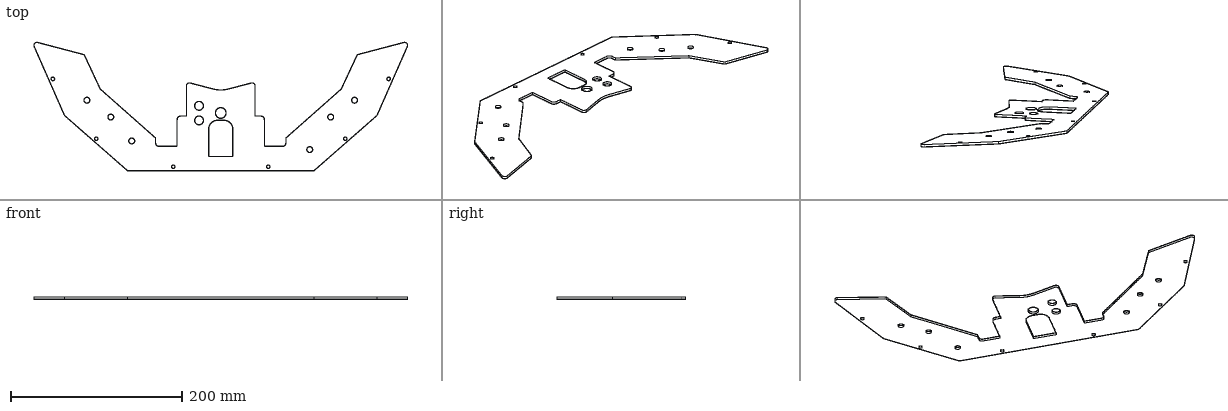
import cadquery as cq

thickness = 3.0
front_half_width = 108.5

outer_elbow = (182.5, 64.5)
arm_tip = (221.0, 152.0)
arm_end_corner = (159.3, 135.5)
inner_elbow = (140.5, 95.5)
arm_root = (76.0, 38.5)
tip_radius = 3.5
arm_end_radius = 2.0

notch_floor = 29.0
notch_radius = 4.0

step_half_width = 51.0
step_height = 64.0
step_radius = 4.5
tower_half_width = 40.0
tower_peak = 104.0
tower_radius = 3.5
valley_height = 93.5
valley_radius = 35.0

window_width = 28.0
window_bottom = 17.0
window_top = 59.0
window_radius = 10.0

rim_hole_diameter = 4.0
rim_holes = [(55.5, 5.0), (145.5, 37.5), (196.0, 107.5)]
arm_hole_diameter = 6.5
paired_arm_holes = [(128.5, 63.0), (156.0, 82.5)]
arm_hole_x = 104.0
left_arm_hole_y = 35.0
right_arm_hole_y = 25.0
tower_hole_diameter = 10.0
tower_hole_x = -25.5
tower_hole_heights = [59.0, 76.0]
center_hole_diameter = 12.0
center_hole_height = 67.5


def mirrored(points):
    """Return the points together with their reflections, keeping outline order."""
    return points + [(-x, y) for x, y in reversed(points)]


def round_corners(plate, corners, radius):
    """Round the vertical edges standing at the given outline corners."""
    for x, y in corners:
        edge = cq.selectors.NearestToPointSelector((x, y, thickness / 2))
        plate = plate.edges("|Z").edges(edge).fillet(radius)
    return plate


def make_plate():
    tower_corner = (tower_half_width, tower_peak)
    step_corner = (step_half_width, step_height)
    notch_corner = (arm_root[0], notch_floor)
    valley = (0, valley_height)
    right_side = [
        (front_half_width, 0),
        outer_elbow,
        arm_tip,
        arm_end_corner,
        inner_elbow,
        arm_root,
        notch_corner,
        (step_half_width, notch_floor),
        step_corner,
        (tower_half_width, step_height),
        tower_corner,
    ]
    left_side = [(-x, y) for x, y in reversed(right_side)]
    outline = right_side + [valley] + left_side
    plate = cq.Workplane("XY").polyline(outline).close().extrude(thickness)
    plate = round_corners(plate, mirrored([arm_tip]), tip_radius)
    plate = round_corners(plate, mirrored([arm_end_corner]), arm_end_radius)
    plate = round_corners(plate, mirrored([notch_corner]), notch_radius)
    plate = round_corners(plate, mirrored([step_corner]), step_radius)
    plate = round_corners(plate, mirrored([tower_corner]), tower_radius)
    return round_corners(plate, [valley], valley_radius)


def make_window():
    height = window_top - window_bottom
    return (
        cq.Workplane("XY")
        .center(0, window_bottom + height / 2)
        .rect(window_width, height)
        .extrude(thickness)
        .edges("|Z and >Y")
        .fillet(window_radius)
    )


def make_holes(centers, diameter):
    return cq.Workplane("XY").pushPoints(centers).circle(diameter / 2).extrude(thickness)


arm_holes = mirrored(paired_arm_holes) + [
    (-arm_hole_x, left_arm_hole_y),
    (arm_hole_x, right_arm_hole_y),
]
tower_holes = [(tower_hole_x, y) for y in tower_hole_heights]

result = (
    make_plate()
    .cut(make_window())
    .cut(make_holes(mirrored(rim_holes), rim_hole_diameter))
    .cut(make_holes(arm_holes, arm_hole_diameter))
    .cut(make_holes(tower_holes, tower_hole_diameter))
    .cut(make_holes([(0, center_hole_height)], center_hole_diameter))
)